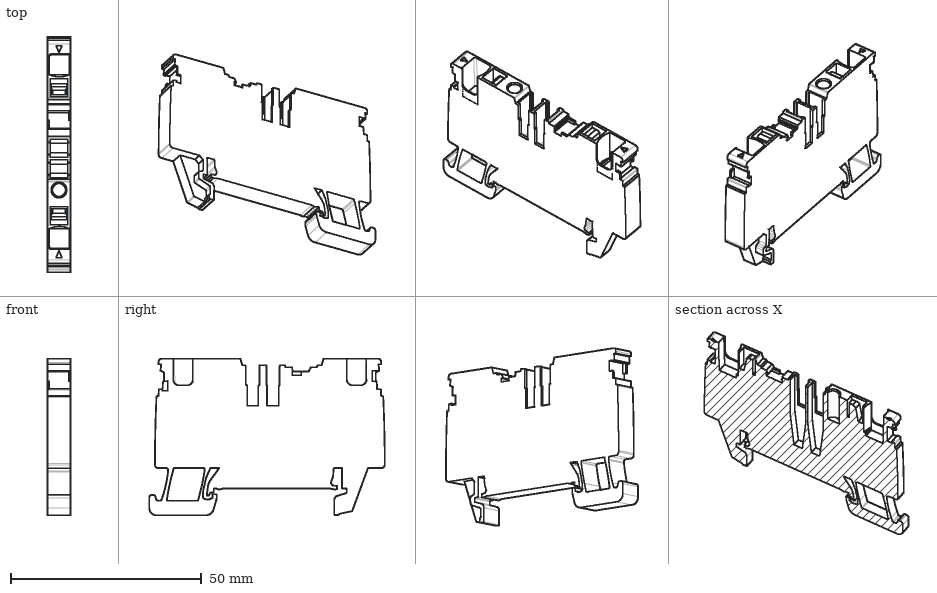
import cadquery as cq
import math

thickness = 6.1
half_thickness = thickness / 2
top_z = 41.1
housing_mid_y = 0.75
housing_half_length = 30.15
housing_bottom_z = 12.4
rail_seat_z = 7.0
shoulder_z = 39.4
slot_floor_z = 28.8
slot_step_z = 34.1
slot_one_high_y = 3.27
slot_one_low_y = -0.1
slot_two_high_y = -2.0
slot_two_low_y = -5.53
slot_one_floor_high_y = 3.07
slot_one_floor_low_y = 0.07
slot_two_floor_high_y = -2.33
slot_two_floor_low_y = -5.15
marker_floor_z = 36.8
marker_top_z = 37.75
marker_step_z = 38.85
marker_start_y = 6.65
marker_end_y = 11.5
marker_split_y = 8.95

end_face_offset = 27.8
end_ledge_offset = 28.15
end_recess_offset = 26.8
end_recess_low_z = 32.7
end_recess_split_z = 35.2
end_recess_high_z = 37.9
lip = 0.55

pocket_outer = 25.6
pocket_floor_outer = 25.35
pocket_inner = 20.2
pocket_bulge = 0.6
pocket_x_low = -2.55
pocket_x_high = 2.75
pocket_depth = 10.0
pocket_arch_depth = 9.0
pocket_corner_radius = 0.5
side_gap_outer = 25.3
side_gap_inner = 20.2
side_gap_depth = 7.0
side_gap_radius = 1.5

window_outer = 19.1
window_inner = 14.4
window_half_width = 2.32
window_depth = 6.0
clamp_half_width = 2.05
clamp_top_drop = 0.7
clamp_slope_drop = 1.5
clamp_gap = 0.55
clamp_flat = 1.2
clamp_slope = 0.9
clamp_foot = 0.75
clamp_edge_chamfer = 0.4

hole_y = -9.3
hole_radius = 1.72
hole_rim_radius = 2.05
hole_rim_depth = 0.4
hole_depth = 10.0

arrow_base = 27.75
arrow_tip = 26.0
arrow_half_width = 0.75
arrow_depth = 0.3

shaft_half_width = 2.32
shaft_spans = ((4.0, -0.65), (-1.4, -6.05))
shaft_floor_z = 16.0
shaft_taper_z = 26.0
shaft_wall_draft = 1.1

fixed_foot_end_y = -30.89
fixed_foot_bump_z = 5.4
fixed_foot_bar_z = 3.9
fixed_foot_hook_y = -13.15
fixed_foot_lip_y = -14.3
fixed_foot_lip_z = 5.55
fixed_foot_inner_y = -14.8
fixed_foot_outer_y = -27.0
foot_overlap = 0.5

spring_foot_tip_y = 17.6
spring_foot_bottom_z = 0.1
spring_foot_notch_z = 7.05
spring_strip_y = 19.62
spring_web_setback = 2.35
spring_recess_end_y = 27.5
spring_recess_bottom_z = -1.0


def rounded_outline(corners):
    """Closed YZ wire through corners (y, z) or (y, z, radius), rounding those with a radius."""
    starts = []
    middles = []
    ends = []
    count = len(corners)
    for index, corner in enumerate(corners):
        point = cq.Vector(corner[0], corner[1])
        if len(corner) == 2:
            starts.append(point)
            middles.append(None)
            ends.append(point)
            continue
        radius = corner[2]
        before = cq.Vector(*corners[index - 1][:2])
        after = cq.Vector(*corners[(index + 1) % count][:2])
        to_before = (before - point).normalized()
        to_after = (after - point).normalized()
        half_angle = to_before.getAngle(to_after) / 2
        tangent_length = radius / math.tan(half_angle)
        bisector = (to_before + to_after).normalized()
        starts.append(point + to_before * tangent_length)
        middles.append(point + bisector * (radius / math.sin(half_angle) - radius))
        ends.append(point + to_after * tangent_length)
    wire = cq.Workplane("YZ").moveTo(ends[-1].x, ends[-1].y)
    for start, middle, end in zip(starts, middles, ends):
        wire = wire.lineTo(start.x, start.y)
        if middle is not None:
            wire = wire.threePointArc((middle.x, middle.y), (end.x, end.y))
    return wire.close()


def slab(corners, x_low=-half_thickness, x_high=half_thickness):
    """Solid with the given YZ outline, reaching from x_low to x_high."""
    return rounded_outline(corners).extrude(x_high - x_low).translate((x_low, 0, 0))


def box(x_span, y_span, z_span):
    """Box between two limits along each axis; the limits may come in either order."""
    sizes = [abs(span[1] - span[0]) for span in (x_span, y_span, z_span)]
    lows = [min(span) for span in (x_span, y_span, z_span)]
    return cq.Workplane("XY").box(*sizes, centered=False).translate(tuple(lows))


def at_end(side, offset):
    """Y of a place at a given distance from the mid plane; side is +1 or -1."""
    return housing_mid_y + side * offset


def end_corners(side):
    """Corners of one housing end, from the bottom up to the top face."""
    offsets = [
        (housing_half_length, housing_bottom_z, 0.9),
        (housing_half_length, 22.3, 385.0),
        (29.75, 31.2),
        (29.2, 31.35),
        (29.15, 33.05, 0.2),
        (end_ledge_offset, 33.15),
        (28.05, 34.8),
        (end_face_offset, 35.4),
        (end_face_offset, 37.5),
        (28.7, 37.9),
        (28.5, 39.6),
        (29.2, 39.6),
        (29.2, top_z, 0.9),
    ]
    return [(at_end(side, corner[0]), *corner[1:]) for corner in offsets]


def top_corners():
    """Steps, marker seat and the two bridge slots along the top, from +Y to -Y."""
    return [
        (14.8, top_z, 0.2),
        (14.3, shoulder_z),
        (13.3, shoulder_z),
        (13.0, marker_step_z),
        (11.5, marker_step_z),
        (10.9, marker_top_z),
        (6.95, marker_top_z),
        (marker_start_y, 38.1),
        (marker_start_y, marker_step_z),
        (4.8, marker_step_z),
        (4.8, shoulder_z, 0.3),
        (slot_one_high_y, shoulder_z, 0.45),
        (slot_one_high_y, slot_step_z),
        (slot_one_floor_high_y, slot_step_z - 0.15),
        (slot_one_floor_high_y, slot_floor_z),
        (slot_one_floor_low_y, slot_floor_z),
        (slot_one_floor_low_y, slot_step_z - 0.15),
        (slot_one_low_y, slot_step_z),
        (slot_one_low_y, shoulder_z, 0.25),
        (slot_two_high_y, shoulder_z, 0.1),
        (slot_two_high_y, slot_step_z + 0.15),
        (slot_two_floor_high_y, slot_step_z - 0.15),
        (slot_two_floor_high_y, slot_floor_z),
        (slot_two_floor_low_y, slot_floor_z),
        (slot_two_floor_low_y, slot_step_z - 0.05),
        (slot_two_low_y, slot_step_z + 0.2),
        (slot_two_low_y, shoulder_z, 0.4),
        (-6.45, shoulder_z),
        (-6.95, top_z, 0.2),
    ]


def rail_seat_corners():
    """Underside between the feet, from -Y to +Y, with a hook at each end."""
    return [
        (-12.6, housing_bottom_z),
        (-12.9, 11.9, 0.3),
        (-15.4, 8.5, 4.0),
        (-15.8, 5.2),
        (-15.2, 5.2),
        (-14.9, 5.9),
        (-13.95, 6.05),
        (-13.95, rail_seat_z),
        (-13.3, rail_seat_z),
        (-12.5, 6.75),
        (-11.6, rail_seat_z),
        (16.6, rail_seat_z),
        (17.8, 6.75),
        (18.4, 6.9),
        (18.4, 7.75),
        (17.2, 7.85, 0.5),
        (16.75, 8.55, 0.2),
        (17.35, 10.2, 2.0),
        (17.5, housing_bottom_z, 0.3),
    ]


def make_housing():
    plus_end = end_corners(1)
    minus_end = end_corners(-1)
    minus_end.reverse()
    return slab(plus_end + top_corners() + minus_end + rail_seat_corners())


def make_fixed_foot():
    """Hooked foot on two slanting struts at the -Y end."""
    foot = slab([
        (fixed_foot_inner_y, housing_bottom_z),
        (-15.9, 10.0, 8.0),
        (-16.75, 6.2, 4.0),
        (-16.7, 4.4, 0.5),
        (-15.4, 4.15, 0.8),
        (fixed_foot_lip_y, 4.6),
        (fixed_foot_lip_y, fixed_foot_lip_z),
        (fixed_foot_hook_y, fixed_foot_lip_z, 0.3),
        (fixed_foot_hook_y, 4.4, 2.0),
        (-14.4, 0.0, 2.2),
        (fixed_foot_end_y, 0.0, 2.0),
        (fixed_foot_end_y, fixed_foot_bump_z, 0.75),
        (-29.3, fixed_foot_bump_z, 0.7),
        (-29.0, fixed_foot_bar_z, 0.6),
        (-27.7, fixed_foot_bar_z, 0.3),
        (-26.3, 8.3, 32.0),
        (-25.85, housing_bottom_z, 0.6),
        (fixed_foot_outer_y, housing_bottom_z),
        (fixed_foot_outer_y, housing_bottom_z + foot_overlap),
        (fixed_foot_inner_y, housing_bottom_z + foot_overlap),
    ])
    window = slab([
        (-16.3, housing_bottom_z, 0.3),
        (-16.75, 9.1, 48.0),
        (-18.1, fixed_foot_bar_z, 0.25),
        (-26.25, fixed_foot_bar_z, 0.2),
        (-25.6, 8.0, 65.0),
        (-24.4, housing_bottom_z, 0.3),
    ])
    return foot.cut(window)


def make_spring_foot():
    """Latching foot at the +Y end: a bent full-width strip backed by a set-back web."""
    foot = slab([
        (26.5, housing_bottom_z),
        (22.35, 1.1, 0.3),
        (19.1, 0.4),
        (18.7, spring_foot_bottom_z),
        (spring_foot_tip_y, spring_foot_bottom_z, 0.2),
        (spring_foot_tip_y, 4.9, 1.2),
        (20.85, 5.9, 0.2),
        (20.85, spring_foot_notch_z, 0.2),
        (spring_strip_y, spring_foot_notch_z, 0.2),
        (spring_strip_y, housing_bottom_z),
    ])
    recess = slab([
        (spring_recess_end_y, housing_bottom_z),
        (22.0, housing_bottom_z),
        (20.93, 11.4),
        (20.93, 8.0, 0.6),
        (22.27, 7.5, 0.5),
        (22.27, 5.35, 0.3),
        (18.7, 3.95, 0.4),
        (18.7, 1.7),
        (19.1, 1.3),
        (19.1, spring_recess_bottom_z),
        (spring_recess_end_y, spring_recess_bottom_z),
    ], -half_thickness, -half_thickness + spring_web_setback)
    return foot.cut(recess)


def end_marker_recess(side):
    """Marker seat in a housing end; open to -X on one half and to +X on the other."""
    y_span = (at_end(side, end_recess_offset), at_end(side, end_ledge_offset))
    low = (end_recess_low_z, end_recess_split_z)
    high = (end_recess_split_z, end_recess_high_z)
    inner_x = half_thickness - lip
    open_to_minus_x = (-half_thickness, inner_x)
    open_to_plus_x = (-inner_x, half_thickness)
    if side > 0:
        return box(open_to_minus_x, y_span, low).union(box(open_to_plus_x, y_span, high))
    return box(open_to_minus_x, y_span, high).union(box(open_to_plus_x, y_span, low))


def top_marker_recess():
    inner_x = half_thickness - lip
    z_span = (marker_floor_z, marker_top_z)
    plus_half = box((-half_thickness, inner_x), (marker_split_y, marker_end_y), z_span)
    minus_half = box((-inner_x, half_thickness), (marker_start_y, marker_split_y), z_span)
    return plus_half.union(minus_half)


def wire_pocket(side):
    """Deep pocket with an arched inner wall, open through the upper +X face."""
    floor_z = top_z - pocket_depth
    main = slab([
        (at_end(side, pocket_outer), top_z),
        (at_end(side, pocket_inner), top_z),
        (at_end(side, pocket_inner), floor_z),
        (at_end(side, pocket_floor_outer), floor_z),
    ], pocket_x_low, pocket_x_high)
    low_x_corner = cq.selectors.NearestToPointSelector(
        (pocket_x_low, at_end(side, pocket_outer), top_z - pocket_depth / 2))
    main = main.edges(low_x_corner).fillet(pocket_corner_radius)
    arch_y = at_end(side, pocket_inner)
    arch_tip_y = at_end(side, pocket_inner - pocket_bulge)
    middle_x = (pocket_x_low + pocket_x_high) / 2
    arch = (
        cq.Workplane("XY", origin=(0, 0, top_z - pocket_arch_depth))
        .moveTo(pocket_x_low, arch_y)
        .threePointArc((middle_x, arch_tip_y), (pocket_x_high, arch_y))
        .close()
        .extrude(pocket_arch_depth)
    )
    gap_floor_z = top_z - side_gap_depth
    gap = slab([
        (at_end(side, side_gap_outer), top_z),
        (at_end(side, side_gap_outer), gap_floor_z, side_gap_radius),
        (at_end(side, side_gap_inner), gap_floor_z, side_gap_radius),
        (at_end(side, side_gap_inner), top_z),
    ], pocket_x_high, half_thickness)
    return main.union(arch).union(gap)


def clamp_window(side):
    """Window in the top face with the head of the spring clamp left standing inside."""
    floor_z = top_z - window_depth
    x_span = (-window_half_width, window_half_width)
    window = box(x_span, (at_end(side, window_inner), at_end(side, window_outer)), (floor_z, top_z))
    clamp_start = window_inner + clamp_gap
    flat_end = clamp_start + clamp_flat
    slope_end = flat_end + clamp_slope
    clamp = slab([
        (at_end(side, clamp_start), floor_z),
        (at_end(side, clamp_start), top_z - clamp_top_drop),
        (at_end(side, flat_end), top_z - clamp_top_drop),
        (at_end(side, slope_end), top_z - clamp_slope_drop),
        (at_end(side, slope_end + clamp_foot), floor_z),
    ], -clamp_half_width, clamp_half_width)
    clamp = clamp.faces(">Z").edges("|Y").chamfer(clamp_edge_chamfer)
    return window.cut(clamp)


def arrow(side):
    """Shallow triangular mark pointing at the pocket."""
    return (
        cq.Workplane("XY", origin=(0, 0, top_z - arrow_depth))
        .moveTo(-arrow_half_width, at_end(side, arrow_base))
        .lineTo(arrow_half_width, at_end(side, arrow_base))
        .lineTo(0, at_end(side, arrow_tip))
        .close()
        .extrude(arrow_depth)
    )


def bridge_shaft(y_span):
    """Cavity between the side skins, narrowing along Y just above its floor."""
    high_y, low_y = y_span
    return slab([
        (high_y, shoulder_z),
        (high_y, shaft_taper_z),
        (high_y - shaft_wall_draft, shaft_floor_z),
        (low_y + shaft_wall_draft, shaft_floor_z),
        (low_y, shaft_taper_z),
        (low_y, shoulder_z),
    ], -shaft_half_width, shaft_half_width)


def test_hole():
    """Round hole with a countersunk rim."""
    shape = (
        cq.Workplane("XZ")
        .moveTo(0, top_z)
        .lineTo(hole_rim_radius, top_z)
        .lineTo(hole_radius, top_z - hole_rim_depth)
        .lineTo(hole_radius, top_z - hole_depth)
        .lineTo(0, top_z - hole_depth)
        .close()
        .revolve(360, (0, 0, 0), (0, 1, 0))
    )
    return shape.translate((0, hole_y, 0))


result = make_housing().union(make_fixed_foot()).union(make_spring_foot())
for end in (1, -1):
    result = result.cut(end_marker_recess(end))
    result = result.cut(wire_pocket(end))
    result = result.cut(clamp_window(end))
    result = result.cut(arrow(end))
for span in shaft_spans:
    result = result.cut(bridge_shaft(span))
result = result.cut(top_marker_recess()).cut(test_hole())